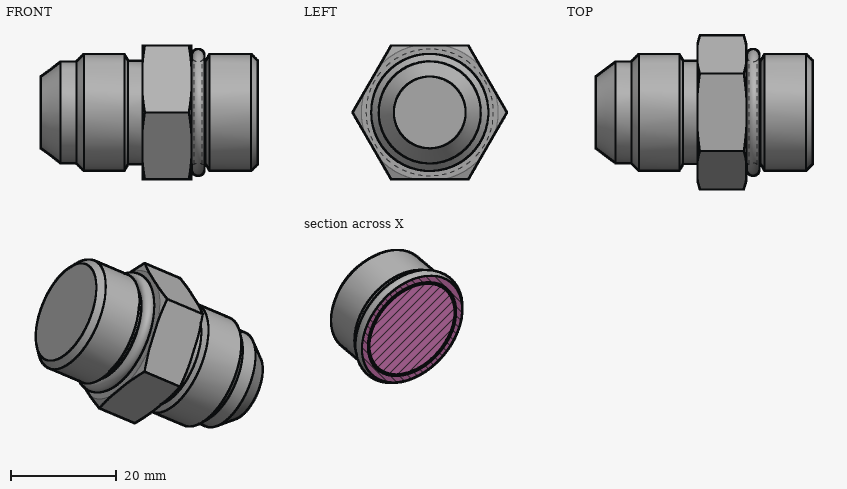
import cadquery as cq
import math

nose_diameter = 19.35
tip_diameter = 13.62
flare_angle = 37.0
land_end = 6.75

thread_diameter = 22.22
root_diameter = 19.65
runout_angle = 30.0
nose_thread_end = 15.85

hex_sides = 6
hex_start = 19.25
hex_length = 9.3
hex_across_flats = 25.4
hex_face_diameter = 25.92
hex_corner_setback = 0.5

ring_outer_diameter = 24.1
ring_section = 2.45
ring_clearance = 0.05
groove_width = 2.7

overall_length = 41.15

nose_radius = nose_diameter / 2
tip_radius = tip_diameter / 2
thread_radius = thread_diameter / 2
root_radius = root_diameter / 2
flare_length = (nose_radius - tip_radius) / math.tan(math.radians(flare_angle))
nose_thread_start = land_end + thread_radius - nose_radius
end_chamfer = thread_radius - root_radius
runout_length = end_chamfer * math.tan(math.radians(runout_angle))
hex_end = hex_start + hex_length
groove_end = hex_end + groove_width


def revolve_about_x(outline):
    """Turn a closed (x, radius) outline about the X axis."""
    return cq.Workplane("XY").polyline(outline).close().revolve(360, (0, 0, 0), (1, 0, 0))


def make_turned_body():
    """Shaft with flared nose, two threaded stretches and the O-ring groove."""
    return revolve_about_x([
        (0, 0),
        (0, tip_radius),
        (flare_length, nose_radius),
        (land_end, nose_radius),
        (nose_thread_start, thread_radius),
        (nose_thread_end, thread_radius),
        (nose_thread_end + runout_length, root_radius),
        (groove_end, root_radius),
        (groove_end + runout_length, thread_radius),
        (overall_length - end_chamfer, thread_radius),
        (overall_length, root_radius),
        (overall_length, 0),
    ])


def make_hexagon():
    """Hexagon with flats up and down, its corners turned off at both ends."""
    corner_radius = hex_across_flats / 2 / math.cos(math.pi / hex_sides)
    face_radius = hex_face_diameter / 2
    prism = (
        cq.Workplane("YZ", origin=(hex_start, 0, 0))
        .polygon(hex_sides, 2 * corner_radius)
        .extrude(hex_length)
    )
    corner_cutter = revolve_about_x([
        (hex_start, 0),
        (hex_start, face_radius),
        (hex_start + hex_corner_setback, corner_radius),
        (hex_end - hex_corner_setback, corner_radius),
        (hex_end, face_radius),
        (hex_end, 0),
    ])
    return prism.intersect(corner_cutter)


def make_o_ring():
    """O-ring of round section, slightly sunk into the groove floor."""
    section_radius = ring_section / 2
    mean_radius = ring_outer_diameter / 2 - section_radius
    section_plane = cq.Plane(
        origin=(hex_end + ring_clearance + section_radius, mean_radius, 0),
        xDir=(0, -1, 0),
        normal=(0, 0, 1),
    )
    return (
        cq.Workplane(section_plane)
        .circle(section_radius)
        .revolve(360, (mean_radius, 0, 0), (mean_radius, 1, 0))
    )


o_ring = make_o_ring()

fitting = make_turned_body().union(make_hexagon()).cut(o_ring)

result = cq.Compound.makeCompound([fitting.val(), o_ring.val()])